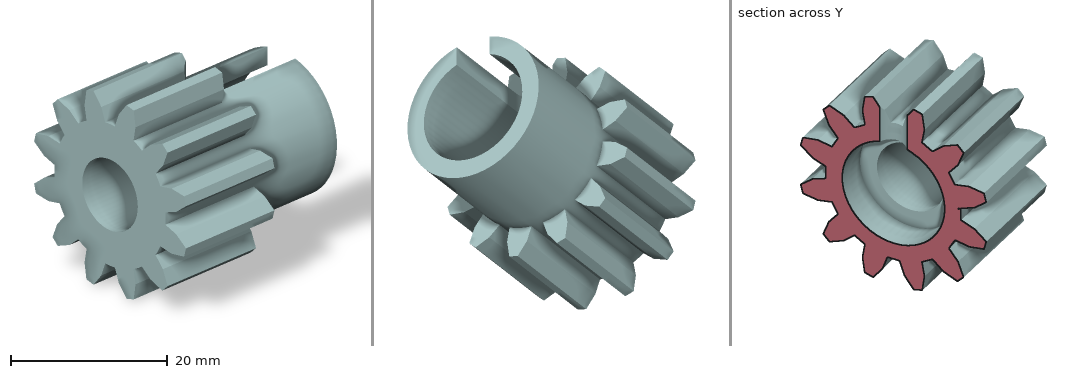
import cadquery as cq
import math

MODULE = 2.0
TOOTH_COUNT = 12
PITCH_RADIUS = MODULE * TOOTH_COUNT / 2
TIP_RADIUS = PITCH_RADIUS + MODULE
CORE_RADIUS = PITCH_RADIUS - MODULE
GEAR_LENGTH = 16.0

TOOTH_PITCH_ANGLE = 360 / TOOTH_COUNT
ROOT_HALF_ANGLE = 10.0
PITCH_HALF_ANGLE = TOOTH_PITCH_ANGLE / 4
TIP_HALF_ANGLE = 2.72

HUB_LENGTH = 15.0
TOTAL_LENGTH = GEAR_LENGTH + HUB_LENGTH

BORE_DIAMETER = 10.0
WIDE_BORE_DIAMETER = 15.0
WIDE_BORE_DEPTH = 20.0

SLOT_WIDTH = 5.0
SLOT_STRAIGHT_LENGTH = 14.0


def cylinder_along_y(radius, start, length):
    """Cylinder on the Y axis that runs from y = start toward +Y."""
    return cq.Workplane("XZ", origin=(0, start, 0)).circle(radius).extrude(-length)


def polar_point(radius, angle):
    """Point at a radius and an angle in degrees, measured from +X."""
    return (radius * math.cos(math.radians(angle)), radius * math.sin(math.radians(angle)))


def make_tooth(center_angle):
    """One tooth, carried in to the Y axis so that it merges with the core."""
    outline = [
        (0, 0),
        polar_point(CORE_RADIUS, center_angle - ROOT_HALF_ANGLE),
        polar_point(PITCH_RADIUS, center_angle - PITCH_HALF_ANGLE),
        polar_point(TIP_RADIUS, center_angle - TIP_HALF_ANGLE),
        polar_point(TIP_RADIUS, center_angle + TIP_HALF_ANGLE),
        polar_point(PITCH_RADIUS, center_angle + PITCH_HALF_ANGLE),
        polar_point(CORE_RADIUS, center_angle + ROOT_HALF_ANGLE),
    ]
    return cq.Workplane("XZ").polyline(outline).close().extrude(-GEAR_LENGTH)


def make_toothed_body():
    """Core and hub in one cylinder, with tooth gaps centered on +X and +Z."""
    body = cylinder_along_y(CORE_RADIUS, 0, TOTAL_LENGTH)
    for index in range(TOOTH_COUNT):
        body = body.union(make_tooth((index + 0.5) * TOOTH_PITCH_ANGLE))
    return body


def make_stepped_bore():
    narrow = cylinder_along_y(BORE_DIAMETER / 2, 0, TOTAL_LENGTH)
    wide_start = TOTAL_LENGTH - WIDE_BORE_DEPTH
    wide = cylinder_along_y(WIDE_BORE_DIAMETER / 2, wide_start, WIDE_BORE_DEPTH)
    return narrow.union(wide)


def make_slot():
    """Slot cutter from the Y axis up past the tooth tips."""
    half_width = SLOT_WIDTH / 2
    arc_center = TOTAL_LENGTH - SLOT_STRAIGHT_LENGTH
    return (
        cq.Workplane("XY")
        .moveTo(-half_width, TOTAL_LENGTH)
        .lineTo(-half_width, arc_center)
        .threePointArc((0, arc_center - half_width), (half_width, arc_center))
        .lineTo(half_width, TOTAL_LENGTH)
        .close()
        .extrude(TIP_RADIUS)
    )


result = make_toothed_body().cut(make_stepped_bore()).cut(make_slot())